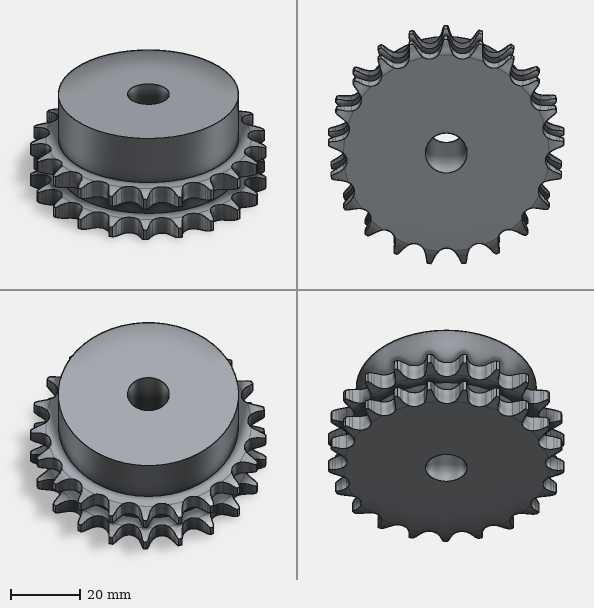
import cadquery as cq
import math


pitch = 9.525
roller_diameter = 6.35
row_spacing = 10.2

tooth_count = 21
row_count = 2
tip_diameter = 68.0
tooth_thickness = 5.2
crown_radius = 10.0
crown_start_radius = 29.6
first_tooth_angle = -90.0

hub_diameter = 52.0
bore_diameter = 12.0
total_height = 30.0

tip_radius = tip_diameter / 2
half_tooth_angle = math.pi / tooth_count
pitch_radius = pitch / 2 / math.sin(half_tooth_angle)
seat_radius = (1.005 * roller_diameter + 0.0762) / 2
seat_angle = math.radians(35 + 60 / tooth_count)
working_angle = math.radians(18 - 56 / tooth_count)
pressure_angle = math.radians(17 - 64 / tooth_count)
seat_to_working_center = 0.8 * roller_diameter
seat_to_topping_center = 1.4 * roller_diameter
working_radius = seat_to_working_center + seat_radius
flat_length = (
    seat_to_topping_center * math.sin(pressure_angle)
    - seat_to_working_center * math.sin(working_angle)
)

cutter_clearance = 2.0


def polar(center, radius, angle):
    """Point at a distance and angle (radians) from a center."""
    return (center[0] + radius * math.cos(angle), center[1] + radius * math.sin(angle))


def mirrored(point):
    """Point reflected across the Y axis."""
    return (-point[0], point[1])


def tooth_gap_cutter():
    """Prism of one tooth gap centered on +Y, one tooth thick."""
    seat_center = (0, pitch_radius)
    working_center = polar(seat_center, seat_to_working_center, seat_angle)
    topping_center = polar(seat_center, seat_to_topping_center, math.pi + half_tooth_angle)

    working_end_angle = math.pi + seat_angle - working_angle
    seat_bottom = (0, pitch_radius - seat_radius)
    seat_end = polar(working_center, working_radius, math.pi + seat_angle)
    working_mid = polar(working_center, working_radius, math.pi + seat_angle - working_angle / 2)
    working_end = polar(working_center, working_radius, working_end_angle)
    flat_end = polar(working_end, flat_length, working_end_angle - math.pi / 2)

    topping_radius = math.dist(flat_end, topping_center)
    center_distance = math.hypot(*topping_center)
    center_direction = math.atan2(topping_center[1], topping_center[0])
    tip_offset = math.acos(
        (center_distance**2 + tip_radius**2 - topping_radius**2) / (2 * center_distance * tip_radius)
    )
    tip = polar((0, 0), tip_radius, center_direction - tip_offset)
    topping_start_angle = math.atan2(flat_end[1] - topping_center[1], flat_end[0] - topping_center[0])
    topping_end_angle = math.atan2(tip[1] - topping_center[1], tip[0] - topping_center[0])
    topping_mid = polar(topping_center, topping_radius, (topping_start_angle + topping_end_angle) / 2)
    outer = (tip[0], tip_radius + cutter_clearance)

    return (
        cq.Workplane("XY")
        .moveTo(*mirrored(seat_end))
        .threePointArc(seat_bottom, seat_end)
        .threePointArc(working_mid, working_end)
        .lineTo(*flat_end)
        .threePointArc(topping_mid, tip)
        .lineTo(*outer)
        .lineTo(*mirrored(outer))
        .lineTo(*mirrored(tip))
        .threePointArc(mirrored(topping_mid), mirrored(flat_end))
        .lineTo(*mirrored(working_end))
        .threePointArc(mirrored(working_mid), mirrored(seat_end))
        .close()
        .extrude(tooth_thickness)
    )


def crowned_blank():
    """Disc whose two faces curve inward toward the tips, tangent to the flat faces."""
    crown_width = tip_radius - crown_start_radius
    mid_width = crown_width / 2
    tip_drop = crown_radius - math.sqrt(crown_radius**2 - crown_width**2)
    mid_drop = crown_radius - math.sqrt(crown_radius**2 - mid_width**2)
    mid_radius = crown_start_radius + mid_width
    return (
        cq.Workplane("XZ")
        .lineTo(crown_start_radius, 0)
        .threePointArc((mid_radius, mid_drop), (tip_radius, tip_drop))
        .lineTo(tip_radius, tooth_thickness - tip_drop)
        .threePointArc((mid_radius, tooth_thickness - mid_drop), (crown_start_radius, tooth_thickness))
        .lineTo(0, tooth_thickness)
        .close()
        .revolve(360, (0, 0, 0), (0, 1, 0))
    )


def toothed_row():
    """One complete row of teeth resting on Z = 0."""
    row = crowned_blank()
    gap = tooth_gap_cutter()
    tooth_step = 360 / tooth_count
    first_gap_angle = first_tooth_angle + tooth_step / 2 - 90
    for index in range(tooth_count):
        row = row.cut(gap.rotate((0, 0, 0), (0, 0, 1), first_gap_angle + index * tooth_step))
    return row


def sprocket():
    """Hub carrying the rows of teeth, with a bore through everything."""
    body = cq.Workplane("XY").circle(hub_diameter / 2).extrude(total_height)
    row = toothed_row()
    for index in range(row_count):
        body = body.union(row.translate((0, 0, index * row_spacing)))
    bore = cq.Workplane("XY").circle(bore_diameter / 2).extrude(total_height)
    return body.cut(bore)


result = sprocket()